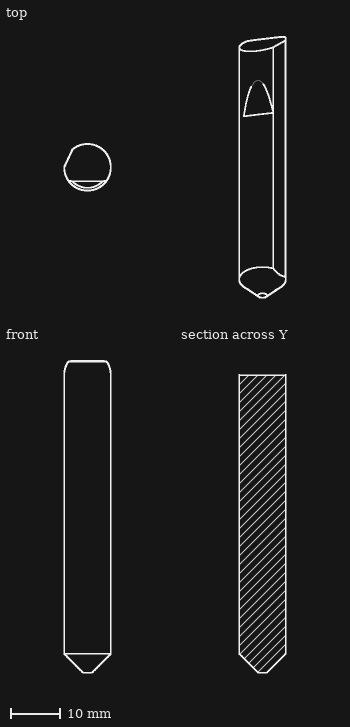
import cadquery as cq
import math

length = 63.5
radius = 4.75
tip_radius = 0.9
cone_height = radius - tip_radius

rim_width = 0.6
rim_drop = 0.2
top_land_y = -2.85
bevel_angle = 45.0

flat_direction = 155.0
flat_depth = 0.45

notch_depth = 1.15
notch_top = 48.8
notch_floor_bottom = 41.3
notch_bottom = 40.6

clearance = 0.65
cut_width = 2 * (radius + clearance)


def pointed_pin():
    """Round pin with a truncated conical point and a shallow top chamfer."""
    profile = [
        (0, 0),
        (tip_radius, 0),
        (radius, cone_height),
        (radius, length - rim_drop),
        (radius - rim_width, length),
        (0, length),
    ]
    return cq.Workplane("XZ").polyline(profile).close().revolve(360, (0, 0), (0, 1))


def across_x(points):
    """Cutter with the given Y-Z outline, passing through the pin along X."""
    return cq.Workplane("YZ").polyline(points).close().extrude(cut_width / 2, both=True)


def top_bevel():
    """Sloping cut that falls toward +Y from the top land."""
    outer_y = radius + clearance
    drop = (outer_y - top_land_y) * math.tan(math.radians(bevel_angle))
    return across_x([(top_land_y, length), (outer_y, length), (outer_y, length - drop)])


def side_flat():
    """Full-length flat on the -X side, turned slightly toward +Y."""
    block = cq.Workplane("XY").box(cut_width, cut_width, length, centered=(False, True, False))
    block = block.translate((radius - flat_depth, 0, 0))
    return block.rotate((0, 0, 0), (0, 0, 1), flat_direction)


def back_notch():
    """Shallow notch on the +Y side with a long tapered floor and a short lower shoulder."""
    outer_y = radius + clearance
    return across_x([
        (outer_y, notch_top),
        (radius, notch_top),
        (radius - notch_depth, notch_floor_bottom),
        (radius, notch_bottom),
        (outer_y, notch_bottom),
    ])


result = pointed_pin().cut(top_bevel()).cut(side_flat()).cut(back_notch())